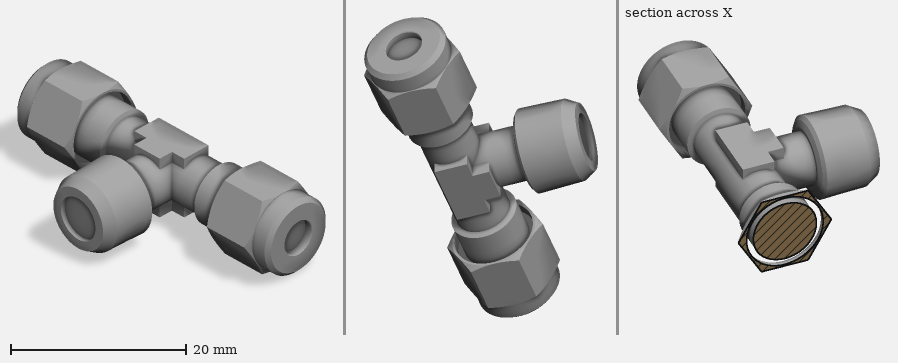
import cadquery as cq
import math

run_half_length = 20.5
branch_end = 15.0
body_radius = 3.25

pad_half_length = 4.0
pad_half_height = 4.0
pad_half_width = 1.95
pad_stem_half_width = 2.05
pad_stem_end = 3.95

collar_start = 7.4
collar_radius = 3.95
collar_cone_length = 0.25
hex_inner = 11.05
hex_outer = 18.0
hex_across_flats = 10.0
hex_corner_radius = hex_across_flats / math.sqrt(3)
hex_chamfer_radius = 5.0
hex_recess_radius = 4.7
hex_recess_depth = 1.25
chamfer_slope = math.tan(math.radians(30))
cap_radius = 4.9
cap_chamfer = 0.55
tube_bore_radius = 2.17
tube_bore_mouth_radius = 2.25
tube_bore_depth = 1.02

male_start = 7.45
male_start_radius = 3.7
male_back_edge = 7.7
male_back_edge_radius = 4.5
male_shoulder = 8.08
male_shoulder_radius = 5.0
male_tip_shoulder = 13.57
male_tip_shoulder_radius = 4.85
male_tip_radius = 4.0
male_bore_radius = 2.8
male_bore_depth = 0.6


def revolve_about_x(points):
    """Solid of revolution about X from an (x, radius) profile."""
    return cq.Workplane("XY").polyline(points).close().revolve(360, (0, 0, 0), (1, 0, 0))


def make_pad():
    outline = [
        (-pad_half_length, pad_half_width),
        (pad_half_length, pad_half_width),
        (pad_half_length, -pad_half_width),
        (pad_stem_half_width, -pad_half_width),
        (pad_stem_half_width, -pad_stem_end),
        (-pad_stem_half_width, -pad_stem_end),
        (-pad_stem_half_width, -pad_half_width),
        (-pad_half_length, -pad_half_width),
    ]
    return cq.Workplane("XY").polyline(outline).close().extrude(pad_half_height, both=True)


def make_hexagon():
    """Hexagon with corners on +Y and -Y, and conical chamfers and a recess around the collar."""
    prism = (
        cq.Workplane("YZ", origin=(hex_inner, 0, 0))
        .polygon(6, 2 * hex_corner_radius)
        .extrude(hex_outer - hex_inner)
    )
    chamfer_length = (hex_corner_radius - hex_chamfer_radius) * chamfer_slope
    envelope = revolve_about_x([
        (hex_inner, 0),
        (hex_inner, hex_chamfer_radius),
        (hex_inner + chamfer_length, hex_corner_radius),
        (hex_outer - chamfer_length, hex_corner_radius),
        (hex_outer, hex_chamfer_radius),
        (hex_outer, 0),
    ])
    recess = (
        cq.Workplane("YZ", origin=(hex_inner, 0, 0))
        .circle(hex_recess_radius)
        .extrude(hex_recess_depth)
    )
    return prism.intersect(envelope).cut(recess)


def make_run_end():
    """Collar, hexagon and cap on the +X end."""
    recess_floor = hex_inner + hex_recess_depth
    collar = revolve_about_x([
        (0, 0),
        (0, body_radius),
        (collar_start, body_radius),
        (collar_start + collar_cone_length, collar_radius),
        (recess_floor, collar_radius),
        (recess_floor, 0),
    ])
    cap = revolve_about_x([
        (recess_floor, 0),
        (recess_floor, cap_radius),
        (run_half_length - cap_chamfer, cap_radius),
        (run_half_length, cap_radius - cap_chamfer),
        (run_half_length, 0),
    ])
    mouth_chamfer = tube_bore_mouth_radius - tube_bore_radius
    bore = revolve_about_x([
        (run_half_length - tube_bore_depth, 0),
        (run_half_length - tube_bore_depth, tube_bore_radius),
        (run_half_length - mouth_chamfer, tube_bore_radius),
        (run_half_length, tube_bore_mouth_radius),
        (run_half_length, 0),
    ])
    return make_hexagon().union(cap).union(collar).cut(bore)


def make_branch():
    """Neck, tapered male end and shallow end bore, turned about Y."""
    bore_floor = branch_end - male_bore_depth
    profile = [
        (0, 0),
        (body_radius, 0),
        (body_radius, -male_start),
        (male_start_radius, -male_start),
        (male_back_edge_radius, -male_back_edge),
        (male_shoulder_radius, -male_shoulder),
        (male_tip_shoulder_radius, -male_tip_shoulder),
        (male_tip_radius, -branch_end),
        (male_bore_radius, -branch_end),
        (male_bore_radius, -bore_floor),
        (0, -bore_floor),
    ]
    return cq.Workplane("XY").polyline(profile).close().revolve(360, (0, 0, 0), (0, 1, 0))


right_end = make_run_end()
left_end = right_end.mirror("YZ")
result = right_end.union(left_end).union(make_branch()).union(make_pad())